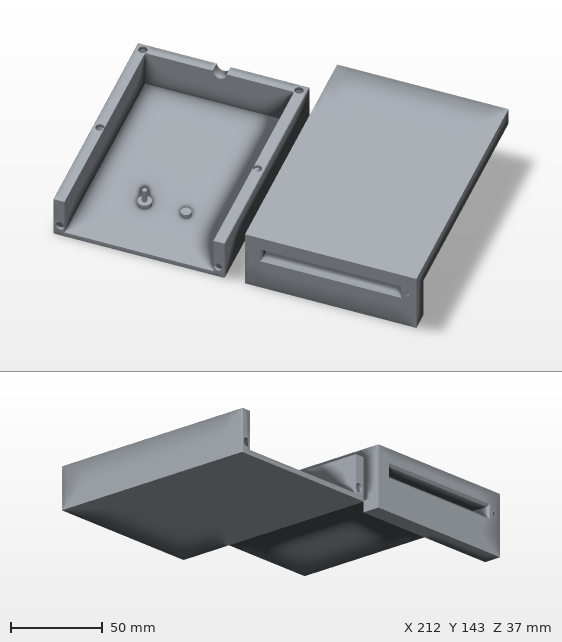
import cadquery as cq

case_width = 100.0
total_width = 212.0
lid_depth = 143.0
lid_height = 37.0
lid_thickness = 11.0

tray_clearance = 0.1
tray_height = lid_height - lid_thickness - tray_clearance
tray_depth = lid_depth - lid_thickness - tray_clearance
wall = 6.5
floor_thickness = 3.0
seam_chamfer = 0.47

notch_diameter = 8.0
notch_center_drop = 0.5
notch_x = case_width / 2

pocket_diameter = 5.0
pocket_depth = 2.0
pocket_inset = 4.0
corner_pocket_inset = 4.5
middle_pocket_y = 62.0
front_pocket_z = 7.0

post_y = 36.0
post_height = 3.0
pivot_x = 39.9
pivot_diameter = 8.0
pin_diameter = 2.8
pin_height = 8.0
button_x = 64.0
button_diameter = 6.0

slot_width = 80.5
slot_height = 6.0
slot_bottom = 21.2
mouth_side = 0.8
mouth_rise = 1.5
mouth_depth = 1.5

indicator_diameter = 2.0
indicator_depth = 2.1
indicator_inset = 5.0
indicator_z = 24.0


def block(x, y, z, width, depth, height):
    """Box whose left, front, bottom corner is at (x, y, z)."""
    return cq.Workplane("XY").box(width, depth, height, centered=False).translate((x, y, z))


def upright_cylinder(x, y, z, diameter, height):
    return cq.Workplane("XY", origin=(x, y, z)).circle(diameter / 2).extrude(height)


def bore_from_front(x, z, diameter, depth):
    """Cylinder that runs from the front face toward +Y."""
    return cq.Workplane("XZ", origin=(x, 0, z)).circle(diameter / 2).extrude(-depth)


def cable_notch():
    """U-shaped channel through the back wall, open at the top."""
    center_z = tray_height - notch_center_drop
    round_bottom = (
        cq.Workplane("XZ", origin=(notch_x, tray_depth - wall, center_z))
        .circle(notch_diameter / 2)
        .extrude(-wall)
    )
    left_x = notch_x - notch_diameter / 2
    straight_top = block(left_x, tray_depth - wall, center_z, notch_diameter, wall, notch_diameter)
    return round_bottom.union(straight_top)


def make_tray():
    tray = block(0, 0, 0, case_width, tray_depth, tray_height)
    top_edges = ["(<X and >Z)", "(>X and >Z)", "(>Y and >Z)"]
    front_edges = ["(<X and <Y)", "(>X and <Y)"]
    tray = tray.edges(" or ".join(top_edges + front_edges)).chamfer(seam_chamfer)
    cavity_width = case_width - 2 * wall
    tray = tray.cut(block(wall, 0, floor_thickness, cavity_width, tray_depth - wall, tray_height))
    tray = tray.cut(cable_notch())

    pocket_z = tray_height - pocket_depth
    top_pockets = [
        (corner_pocket_inset, tray_depth - corner_pocket_inset),
        (pocket_inset, middle_pocket_y),
    ]
    for inset, y in top_pockets:
        for x in (inset, case_width - inset):
            tray = tray.cut(upright_cylinder(x, y, pocket_z, pocket_diameter, pocket_depth))
    for x in (pocket_inset, case_width - pocket_inset):
        tray = tray.cut(bore_from_front(x, front_pocket_z, pocket_diameter, pocket_depth))

    tray = tray.union(upright_cylinder(pivot_x, post_y, floor_thickness, pivot_diameter, post_height))
    collar_top = floor_thickness + post_height
    tray = tray.union(upright_cylinder(pivot_x, post_y, collar_top, pin_diameter, pin_height))
    return tray.union(upright_cylinder(button_x, post_y, floor_thickness, button_diameter, post_height))


def disk_slot(center_x):
    """Slot through the front wall, flared at the front face."""
    center_z = slot_bottom + slot_height / 2
    front = cq.Workplane("XZ", origin=(center_x, 0, center_z))
    through = front.rect(slot_width, slot_height).extrude(-lid_thickness)
    mouth = (
        front.rect(slot_width + 2 * mouth_side, slot_height + 2 * mouth_rise)
        .workplane(offset=-mouth_depth)
        .rect(slot_width, slot_height)
        .loft(ruled=True)
    )
    return through.union(mouth)


def make_lid():
    left = total_width - case_width
    plate_bottom = lid_height - lid_thickness
    lid = block(left, 0, plate_bottom, case_width, lid_depth, lid_thickness)
    lid = lid.union(block(left, 0, 0, case_width, lid_thickness, lid_height))
    lid = lid.cut(disk_slot(left + case_width / 2))
    indicator_x = total_width - indicator_inset
    return lid.cut(bore_from_front(indicator_x, indicator_z, indicator_diameter, indicator_depth))


tray = make_tray()
lid = make_lid()

result = cq.Compound.makeCompound([tray.val(), lid.val()])